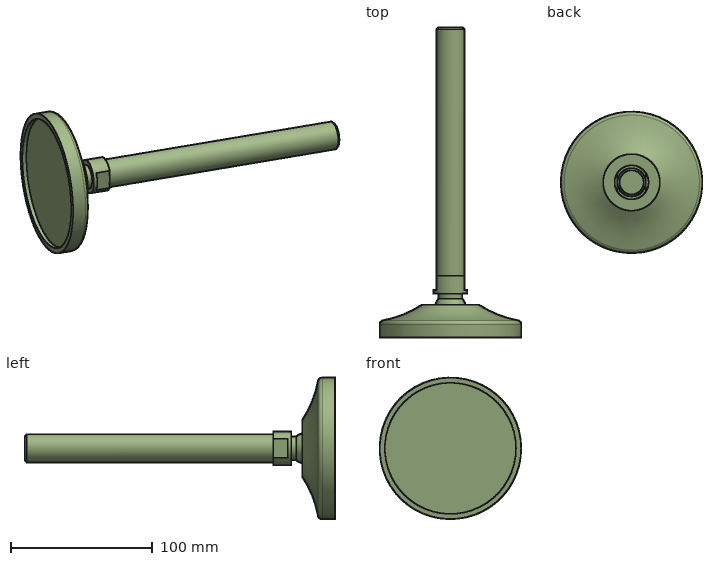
import cadquery as cq
import math


base_diameter = 100.0
rim_height = 9.3
edge_radius = 3.0
edge_sweep = 77.0
shoulder_diameter = 40.0
shoulder_height = 23.3
flank_sag = 1.5

recess_diameter = 92.5
recess_depth = 3.0

ball_diameter = 22.0
neck_diameter = 17.0
neck_start = 27.5

collar_diameter = 24.0
collar_start = 31.0
collar_end = 43.8
flat_start = 33.6
across_flats = 20.0

stem_diameter = 20.0
stem_chamfer = 1.5
total_length = 219.0


def edge_point(degrees):
    """Point (radius, level) on the rounded edge of the base."""
    angle = math.radians(degrees)
    return (
        base_diameter / 2 - edge_radius + edge_radius * math.cos(angle),
        rim_height + edge_radius * math.sin(angle),
    )


def flank_middle():
    """Middle point (radius, level) of the hollow arc from edge round to shoulder."""
    edge_x, edge_y = edge_point(edge_sweep)
    run = edge_x - shoulder_diameter / 2
    rise = shoulder_height - edge_y
    chord = math.hypot(run, rise)
    return (
        edge_x - run / 2 - flank_sag * rise / chord,
        edge_y + rise / 2 - flank_sag * run / chord,
    )


def ball_radius_at(level):
    """Radius of the ball's cross-section; the ball meets the neck at neck_start."""
    centre = neck_start - math.sqrt(ball_diameter**2 - neck_diameter**2) / 2
    return math.sqrt((ball_diameter / 2) ** 2 - (level - centre) ** 2)


def make_body():
    """Revolve the half profile of the whole foot about the Y axis."""
    base_radius = base_diameter / 2
    recess_radius = recess_diameter / 2
    neck_radius = neck_diameter / 2
    collar_radius = collar_diameter / 2
    stem_radius = stem_diameter / 2
    ball_middle = (shoulder_height + neck_start) / 2
    return (
        cq.Workplane("XY")
        .moveTo(0, recess_depth)
        .lineTo(recess_radius, recess_depth)
        .lineTo(recess_radius, 0)
        .lineTo(base_radius, 0)
        .lineTo(base_radius, rim_height)
        .threePointArc(edge_point(edge_sweep / 2), edge_point(edge_sweep))
        .threePointArc(flank_middle(), (shoulder_diameter / 2, shoulder_height))
        .lineTo(ball_radius_at(shoulder_height), shoulder_height)
        .threePointArc((ball_radius_at(ball_middle), ball_middle), (neck_radius, neck_start))
        .lineTo(neck_radius, collar_start)
        .lineTo(collar_radius, collar_start)
        .lineTo(collar_radius, collar_end)
        .lineTo(stem_radius, collar_end)
        .lineTo(stem_radius, total_length - stem_chamfer)
        .lineTo(stem_radius - stem_chamfer, total_length)
        .lineTo(0, total_length)
        .close()
        .revolve(360, (0, 0, 0), (0, 1, 0))
    )


def cut_wrench_flats(body):
    """Cut two opposite flats facing -X and +X, open towards the stem."""
    flat_depth = (collar_diameter - across_flats) / 2
    flat_length = collar_end - flat_start
    for side in (-1, 1):
        cutter = (
            cq.Workplane("XY")
            .box(flat_depth, flat_length, collar_diameter)
            .translate((side * (across_flats + flat_depth) / 2, flat_start + flat_length / 2, 0))
        )
        body = body.cut(cutter)
    return body


result = cut_wrench_flats(make_body())